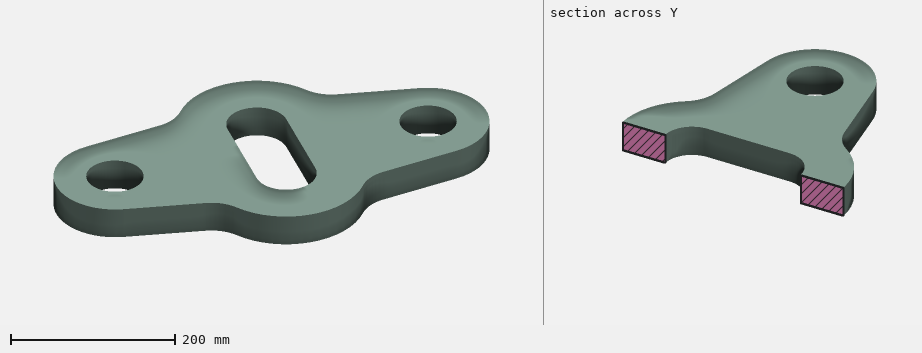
import cadquery as cq
import math

length = 550.0
width = 310.0
thickness = 40.0
end_radius = 75.0
hole_diameter = 70.0
slot_length = 190.0
slot_width = 75.0
taper_angle = math.radians(10)
neck_radius = 50.0

hole_offset = length / 2 - end_radius
side_offset = (slot_length - slot_width) / 2
side_radius = width / 2 - side_offset

normal_x = math.cos(taper_angle)
normal_y = math.sin(taper_angle)

flank_top = (end_radius * normal_x, hole_offset + end_radius * normal_y)

flank_distance = hole_offset * normal_y + end_radius
centre_distance = side_radius + neck_radius
across = flank_distance + neck_radius - side_offset * normal_x
along = math.sqrt(centre_distance**2 - across**2)
neck_x = side_offset + across * normal_x - along * normal_y
neck_y = across * normal_y + along * normal_x

flank_bottom = (neck_x - neck_radius * normal_x, neck_y - neck_radius * normal_y)
lobe_share = side_radius / centre_distance
lobe_end = (side_offset + (neck_x - side_offset) * lobe_share, neck_y * lobe_share)

mid_x = (flank_bottom[0] + lobe_end[0]) / 2 - neck_x
mid_y = (flank_bottom[1] + lobe_end[1]) / 2 - neck_y
mid_scale = neck_radius / math.hypot(mid_x, mid_y)
neck_mid = (neck_x + mid_x * mid_scale, neck_y + mid_y * mid_scale)


def flip(point, sign_x, sign_y):
    """Mirror a point of the +X, +Y quadrant into another quadrant."""
    return (point[0] * sign_x, point[1] * sign_y)


def make_plate():
    """Plate with two end lobes and two side lobes, joined by tangent flanks and necks."""
    outline = cq.Workplane("XY").moveTo(*flip(flank_top, -1, 1))
    for side in (1, -1):
        outline = (
            outline.threePointArc((0, side * length / 2), flip(flank_top, side, side))
            .lineTo(*flip(flank_bottom, side, side))
            .threePointArc(flip(neck_mid, side, side), flip(lobe_end, side, side))
            .threePointArc((side * width / 2, 0), flip(lobe_end, side, -side))
            .threePointArc(flip(neck_mid, side, -side), flip(flank_bottom, side, -side))
            .lineTo(*flip(flank_top, side, -side))
        )
    return outline.close().extrude(thickness)


def cut_openings(plate):
    """Cut the two end holes and the central slot through the plate."""
    holes = (
        cq.Workplane("XY")
        .pushPoints([(0, hole_offset), (0, -hole_offset)])
        .circle(hole_diameter / 2)
        .extrude(thickness)
    )
    slot = cq.Workplane("XY").slot2D(slot_length, slot_width).extrude(thickness)
    return plate.cut(holes).cut(slot)


result = cut_openings(make_plate())